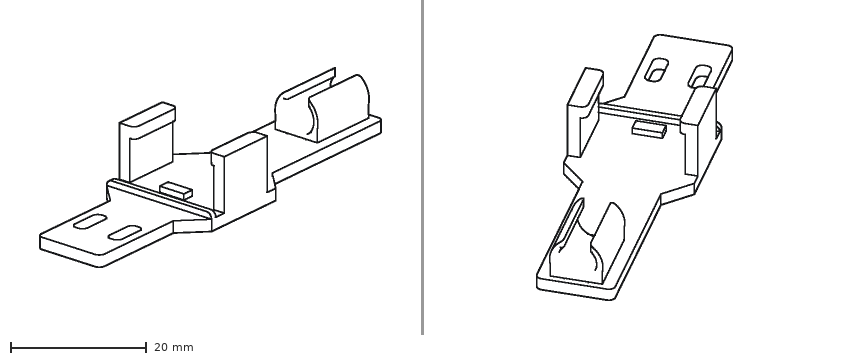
import cadquery as cq
import math

COS_45 = math.sqrt(0.5)

length = 66.0
wide_width = 20.0
neck_width = 12.0
plate_thickness = 2.0
corner_radius = 1.0
taper_run = (wide_width - neck_width) / 2
tail_length = 26.0
tongue_length = 17.0
back_y = length / 2
front_y = -length / 2
wide_back_y = back_y - tail_length - taper_run
wide_front_y = front_y + tongue_length + taper_run

slot_width = 2.4
slot_length = 6.0
slot_spacing = 6.6
slot_to_front_end = 6.0
slot_corner_radius = 1.0

overall_height = 11.0
post_thickness = 2.0
post_length = 10.0
post_setback = 2.0
hook_reach = 3.0
hook_height = 2.0
hook_corner_radius = 1.0

ridge_height = 1.0
ridge_depth = 1.0
block_width = 4.6
block_depth = 2.0
block_height = 1.0

clip_length = 11.95
clip_end_gap = 1.05
clip_outer_radius = 4.1
clip_bore_radius = 3.0
clip_foot_width = 8.0
clip_mouth_width = 4.1
clip_flare_radius = 0.65
clip_axis_z = 5.0

post_back_y = wide_back_y - post_setback
post_front_y = post_back_y - post_length
clip_back_y = back_y - clip_end_gap
clip_front_y = clip_back_y - clip_length


def box_from(x_min, x_max, y_min, y_max, z_min, z_max):
    """Box given by its limits along each axis."""
    size = (x_max - x_min, y_max - y_min, z_max - z_min)
    return cq.Workplane("XY").box(*size, centered=False).translate((x_min, y_min, z_min))


def make_plate():
    """Flat base with tapered shoulders, rounded end corners and two strap slots."""
    half_neck = neck_width / 2
    half_wide = wide_width / 2
    right_side = [
        (half_neck, front_y),
        (half_neck, front_y + tongue_length),
        (half_wide, wide_front_y),
        (half_wide, wide_back_y),
        (half_neck, back_y - tail_length),
        (half_neck, back_y),
    ]
    left_side = [(-x, y) for x, y in reversed(right_side)]
    plate = cq.Workplane("XY").polyline(right_side + left_side).close().extrude(plate_thickness)
    plate = plate.edges("|Z and (<Y or >Y)").fillet(corner_radius)

    slot_y = front_y + slot_to_front_end + slot_length / 2
    slots = (
        cq.Workplane("XY")
        .pushPoints([(-slot_spacing / 2, slot_y), (slot_spacing / 2, slot_y)])
        .rect(slot_width, slot_length)
        .extrude(plate_thickness)
        .edges("|Z")
        .fillet(slot_corner_radius)
    )
    return plate.cut(slots)


def make_hooked_post():
    """Post on the -X edge with an inward hook whose inner corners are rounded."""
    outer_x = -wide_width / 2
    post = box_from(outer_x, outer_x + post_thickness, post_front_y, post_back_y, 0, overall_height)
    hook_z = overall_height - hook_height
    hook = box_from(outer_x, outer_x + hook_reach, post_front_y, post_back_y, hook_z, overall_height)
    hook = hook.edges("|Z and >X").fillet(hook_corner_radius)
    return post.union(hook)


def make_ridge():
    """Low bar across the front of the wide middle, its top rounded off at both ends."""
    half_top = wide_width / 2 - ridge_height
    mid_arc = ridge_height * COS_45
    top_z = plate_thickness + ridge_height
    return (
        cq.Workplane("XZ", origin=(0, wide_front_y + ridge_depth, 0))
        .moveTo(-wide_width / 2, 0)
        .lineTo(-wide_width / 2, plate_thickness)
        .threePointArc((-half_top - mid_arc, plate_thickness + mid_arc), (-half_top, top_z))
        .lineTo(half_top, top_z)
        .threePointArc((half_top + mid_arc, plate_thickness + mid_arc), (wide_width / 2, plate_thickness))
        .lineTo(wide_width / 2, 0)
        .close()
        .extrude(ridge_depth)
    )


def make_block():
    """Small block level with the front of the posts."""
    half_width = block_width / 2
    block_back_y = post_front_y + block_depth
    top_z = plate_thickness + block_height
    return box_from(-half_width, half_width, post_front_y, block_back_y, 0, top_z)


def clip_cylinder(radius):
    """Cylinder on the clip axis, as long as the clip."""
    back_end = cq.Workplane("XZ", origin=(0, clip_back_y, clip_axis_z))
    return back_end.circle(radius).extrude(clip_length)


def make_clip_body():
    """Solid round bar on a straight-sided foot, before it is hollowed out."""
    barrel = clip_cylinder(clip_outer_radius)
    half_foot = clip_foot_width / 2
    foot = box_from(-half_foot, half_foot, clip_front_y, clip_back_y, 0, clip_axis_z)
    return barrel.union(foot)


def flare_profile(half_opening):
    """Half outline of an opening as it widens in a quarter round at the front end of the clip."""
    inner_y = clip_front_y + clip_flare_radius
    mid_arc = clip_flare_radius * (1 - COS_45)
    return (
        cq.Workplane("XY", origin=(0, 0, clip_axis_z))
        .moveTo(0, clip_front_y)
        .lineTo(half_opening + clip_flare_radius, clip_front_y)
        .threePointArc((half_opening + mid_arc, clip_front_y + mid_arc), (half_opening, inner_y))
        .lineTo(0, inner_y)
        .close()
    )


def make_clip_cavity():
    """Bore with an open mouth above it, both rounded outward at the two ends."""
    half_mouth = clip_mouth_width / 2
    bore = clip_cylinder(clip_bore_radius)
    clip_top_z = clip_axis_z + clip_outer_radius
    mouth = box_from(-half_mouth, half_mouth, clip_front_y, clip_back_y, clip_axis_z, clip_top_z)
    bore_flare = flare_profile(clip_bore_radius).revolve(360, (0, 0, 0), (0, 1, 0))
    half_mouth_flare = flare_profile(half_mouth).extrude(clip_outer_radius)
    flare = bore_flare.union(half_mouth_flare).union(half_mouth_flare.mirror("YZ"))
    back_flare = flare.mirror("XZ", (0, (clip_front_y + clip_back_y) / 2, 0))
    return bore.union(mouth).union(flare).union(back_flare)


left_post = make_hooked_post()
result = (
    make_plate()
    .union(left_post)
    .union(left_post.mirror("YZ"))
    .union(make_ridge())
    .union(make_block())
    .union(make_clip_body())
    .cut(make_clip_cavity())
)